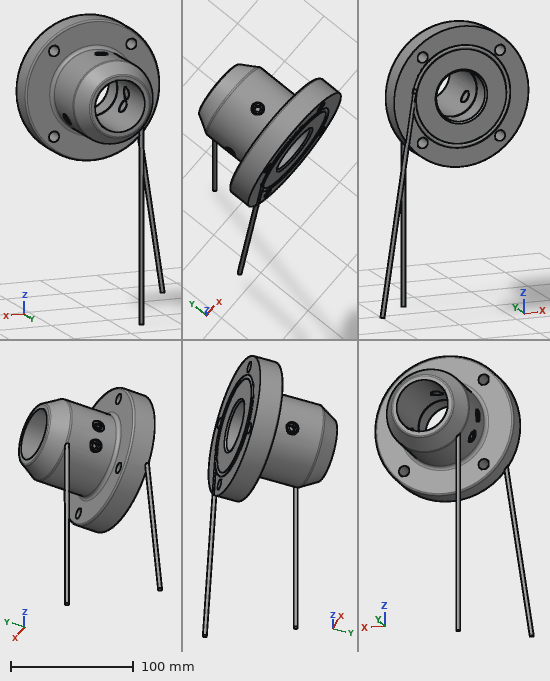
import cadquery as cq
import math


overall_height = 247.5

housing_length = 80.0
flange_radius = 118.0 / 2
flange_thickness = 20.0
flange_fillet = 1.5
barrel_radius = 70.0 / 2
base_fillet = 3.0
nose_end_radius = 26.2
nose_slope_angle = 30.0
nose_fillet = 3.0
nose_rim_fillet = 1.5
bore_radius = 21.3
bore_chamfer = 1.5
bore_step = 0.5
rear_bore_radius = bore_radius + bore_step
nose_length = (barrel_radius - nose_end_radius) / math.tan(math.radians(nose_slope_angle))
nose_start_y = housing_length - nose_length

bolt_hole_diameter = 9.0
bolt_spacing_x = 67.8
bolt_spacing_z = 71.7

screw_y = 39.0
screw_diameter = 10.5
screw_recess = 1.0
screw_tip_gap = 0.5
screw_chamfer = 1.0
set_screw_angles = (90.0, 210.0, 330.0)
plug_angle = 180.0
plug_countersink_diameter = 6.5
hex_width = 5.0
hex_depth = 4.0
hex_corner_diameter = hex_width / math.cos(math.radians(30))
screw_head_distance = barrel_radius - screw_recess
screw_tip_distance = rear_bore_radius + screw_tip_gap
screw_length = screw_head_distance - screw_tip_distance

cable_radius = 3.5 / 2
ring_protrusion = 1.0
ring_y = cable_radius - ring_protrusion
ring_radius = 41.3
ring_sweep = 355.0
tail_tilt = math.radians(8.6)
tail_end_z = -179.4
straight_cable_x = -25.5
straight_cable_y = 63.3
straight_cable_top_z = -17.3
straight_cable_end_z = flange_radius - overall_height


def make_ring_cable():
    """Almost closed ring whose start carries on as a straight tail along the tangent."""
    outward = cq.Vector(-math.cos(tail_tilt), 0, math.sin(tail_tilt))
    tail_direction = cq.Vector(-math.sin(tail_tilt), 0, -math.cos(tail_tilt))
    tail_start = outward * ring_radius + cq.Vector(0, ring_y, 0)
    tail_length = (tail_end_z - tail_start.z) / tail_direction.z
    start_plane = cq.Plane(origin=tail_start, xDir=outward, normal=tail_direction)
    ring = (
        cq.Workplane(start_plane)
        .circle(cable_radius)
        .revolve(ring_sweep, (-ring_radius, 0, 0), (-ring_radius, -1, 0))
    )
    tail = cq.Workplane(start_plane).circle(cable_radius).extrude(tail_length)
    return ring.union(tail)


def make_straight_cable():
    return (
        cq.Workplane("XY", origin=(straight_cable_x, straight_cable_y, straight_cable_end_z))
        .circle(cable_radius)
        .extrude(straight_cable_top_z - straight_cable_end_z)
    )


def radial_plane(angle, distance):
    """Plane facing outward from the housing axis, level with the screws."""
    direction = cq.Vector(math.cos(math.radians(angle)), 0, math.sin(math.radians(angle)))
    origin = direction * distance + cq.Vector(0, screw_y, 0)
    return cq.Plane(origin=origin, xDir=(0, 1, 0), normal=direction)


def make_hex_socket(angle):
    head_plane = radial_plane(angle, screw_head_distance)
    return (
        cq.Workplane(head_plane)
        .transformed(rotate=(0, 0, 30))
        .polygon(6, hex_corner_diameter)
        .extrude(-hex_depth)
    )


def make_screw_blank(angle):
    """Plain cylinder from the screw tip to the screw head."""
    tip_plane = radial_plane(angle, screw_tip_distance)
    return cq.Workplane(tip_plane).circle(screw_diameter / 2).extrude(screw_length)


def make_set_screw(angle):
    """Headless screw with a chamfered outer rim and a hexagon socket."""
    head_plane = radial_plane(angle, screw_head_distance)
    rim = cq.selectors.DirectionMinMaxSelector(head_plane.zDir)
    blank = make_screw_blank(angle).faces(rim).chamfer(screw_chamfer)
    return blank.cut(make_hex_socket(angle))


def make_plug(angle):
    """Headless screw with a sharp rim and a countersunk hexagon socket."""
    head_plane = radial_plane(angle, screw_head_distance)
    countersink_radius = plug_countersink_diameter / 2
    countersink = cq.Solid.makeCone(
        countersink_radius, 0, countersink_radius, head_plane.origin, -head_plane.zDir
    )
    return make_screw_blank(angle).cut(make_hex_socket(angle)).cut(cq.Workplane(countersink))


def revolve_about_y(profile):
    return profile.close().revolve(360, (0, 0, 0), (0, 1, 0))


def circle_edge(body, radius, y):
    """Select the circular edge of a given radius around the housing axis at a given Y."""
    margin = 0.2
    outer = radius + margin
    enclosed = cq.selectors.BoxSelector(
        (-outer, y - margin, -outer), (outer, y + margin, outer), boundingbox=True
    )
    largest = cq.selectors.RadiusNthSelector(-1)
    return body.edges(enclosed).edges(largest)


def make_housing_body():
    """Flange, barrel and conical nose with their rounded edges, still without holes."""
    body = revolve_about_y(
        cq.Workplane("XY")
        .lineTo(flange_radius, 0)
        .lineTo(flange_radius, flange_thickness)
        .lineTo(barrel_radius, flange_thickness)
        .lineTo(barrel_radius, nose_start_y)
        .lineTo(nose_end_radius, housing_length)
        .lineTo(0, housing_length)
    )
    rounded_edges = (
        (flange_radius, flange_thickness, flange_fillet),
        (barrel_radius, flange_thickness, base_fillet),
        (barrel_radius, nose_start_y, nose_fillet),
        (nose_end_radius, housing_length, nose_rim_fillet),
    )
    for radius, y, fillet in rounded_edges:
        body = circle_edge(body, radius, y).fillet(fillet)
    return body


def make_bore():
    """Through bore, chamfered at the mounting face and slightly wider behind the flange."""
    return revolve_about_y(
        cq.Workplane("XY")
        .lineTo(bore_radius + bore_chamfer, 0)
        .lineTo(bore_radius, bore_chamfer)
        .lineTo(bore_radius, flange_thickness)
        .lineTo(rear_bore_radius, flange_thickness)
        .lineTo(rear_bore_radius, housing_length)
        .lineTo(0, housing_length)
    )


def make_bolt_holes():
    return (
        cq.Workplane("XZ")
        .rect(bolt_spacing_x, bolt_spacing_z, forConstruction=True)
        .vertices()
        .circle(bolt_hole_diameter / 2)
        .extrude(-flange_thickness)
    )


def make_screw_hole(angle):
    """Hole from the housing axis out through the barrel wall."""
    return cq.Workplane(radial_plane(angle, 0)).circle(screw_diameter / 2).extrude(flange_radius)


def make_groove_opening():
    """Straight-sided ring from the middle of the ring cable out to the mounting face."""
    return (
        cq.Workplane("XZ", origin=(0, ring_y, 0))
        .circle(ring_radius + cable_radius)
        .circle(ring_radius - cable_radius)
        .extrude(ring_y)
    )


def make_housing(ring_cable, straight_cable):
    """Housing with its holes, and with seats that match the two cables."""
    housing = make_housing_body().cut(make_bore()).cut(make_bolt_holes())
    for angle in (*set_screw_angles, plug_angle):
        housing = housing.cut(make_screw_hole(angle))
    return housing.cut(straight_cable).cut(make_groove_opening()).cut(ring_cable)


ring_cable = make_ring_cable()
straight_cable = make_straight_cable()
housing = make_housing(ring_cable, straight_cable)
set_screws = [make_set_screw(angle) for angle in set_screw_angles]
plug = make_plug(plug_angle)

result = cq.Compound.makeCompound([
    housing.solids().val(),
    ring_cable.solids().val(),
    straight_cable.val(),
    *[screw.solids().val() for screw in set_screws],
    plug.solids().val(),
])